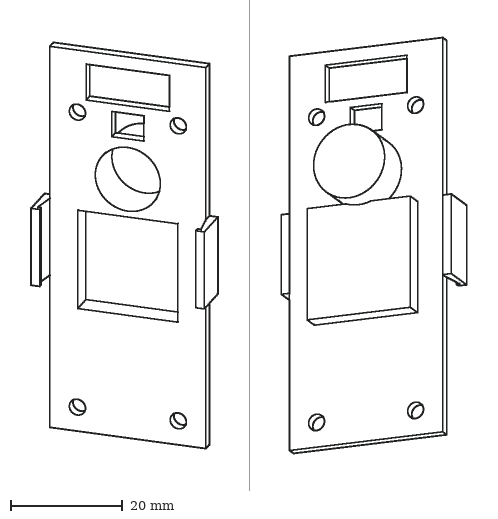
import cadquery as cq

PLATE_WIDTH = 29.6
PLATE_HEIGHT = 73.9
PLATE_THICKNESS = 2.0
PLATE_TOP = PLATE_HEIGHT / 2

HOLE_DIAMETER = 3.0
HOLE_SPACING_X = 19.15
HOLE_SPACING_Z = 57.2
UPPER_HOLE_DROP = 12.05

LARGE_WINDOW_WIDTH = 15.8
LARGE_WINDOW_HEIGHT = 6.95
LARGE_WINDOW_DROP = 2.5
SMALL_WINDOW_WIDTH = 6.05
SMALL_WINDOW_HEIGHT = 4.9
SMALL_WINDOW_DROP = 11.0

FLOOR_THICKNESS = 1.0
CUP_OUTER_DIAMETER = 13.75
CUP_INNER_DIAMETER = 12.35
CUP_DEPTH = 8.0
CUP_DROP = 23.7
BOX_WIDTH = 19.95
BOX_HEIGHT = 20.85
BOX_DEPTH = 3.5
BOX_DROP = 30.15
POCKET_WIDTH = 19.0
POCKET_HEIGHT = 19.1
POCKET_DROP = 31.05

CLIP_SPAN = 32.9
CLIP_HEIGHT = 14.9
CLIP_DROP = 29.5
CLIP_BACK_Y = -0.1
CLIP_FRONT_Y = -7.5
CLIP_TIP_THICKNESS = 0.95
LIP_THICKNESS = 0.95


def block(width, height, drop, front_y, back_y):
    """Box centred on X, with its top face a given drop below the plate top."""
    depth = back_y - front_y
    center_z = PLATE_TOP - drop - height / 2
    return cq.Workplane("XY").box(width, depth, height).translate((0, front_y + depth / 2, center_z))


def rod(diameter, x, z, front_y, back_y):
    """Cylinder along Y."""
    plane = cq.Workplane("XZ", origin=(x, back_y, z))
    return plane.circle(diameter / 2).extrude(back_y - front_y)


def clip(side):
    """Clip on the right (side = 1) or left (side = -1) edge of the plate."""
    outer_x = CLIP_SPAN / 2
    plate_edge_x = PLATE_WIDTH / 2
    tip_x = outer_x - CLIP_TIP_THICKNESS
    lip_back_y = CLIP_FRONT_Y + LIP_THICKNESS
    outline = [
        (outer_x, CLIP_BACK_Y),
        (plate_edge_x, CLIP_BACK_Y),
        (plate_edge_x, -PLATE_THICKNESS),
        (tip_x, lip_back_y),
        (plate_edge_x, lip_back_y),
        (plate_edge_x, CLIP_FRONT_Y),
        (outer_x, CLIP_FRONT_Y),
    ]
    bottom_z = PLATE_TOP - CLIP_DROP - CLIP_HEIGHT
    plane = cq.Workplane("XY", origin=(0, 0, bottom_z))
    return plane.polyline([(side * x, y) for x, y in outline]).close().extrude(CLIP_HEIGHT)


front_y = -PLATE_THICKNESS
cup_z = PLATE_TOP - CUP_DROP

result = block(PLATE_WIDTH, PLATE_HEIGHT, 0, front_y, 0)
result = result.union(rod(CUP_OUTER_DIAMETER, 0, cup_z, front_y, CUP_DEPTH))
result = result.union(block(BOX_WIDTH, BOX_HEIGHT, BOX_DROP, front_y, BOX_DEPTH))
for side in (-1, 1):
    result = result.union(clip(side))

result = result.cut(rod(CUP_INNER_DIAMETER, 0, cup_z, front_y, CUP_DEPTH - FLOOR_THICKNESS))
result = result.cut(block(POCKET_WIDTH, POCKET_HEIGHT, POCKET_DROP, front_y, BOX_DEPTH - FLOOR_THICKNESS))

result = result.cut(block(LARGE_WINDOW_WIDTH, LARGE_WINDOW_HEIGHT, LARGE_WINDOW_DROP, front_y, 0))
result = result.cut(block(SMALL_WINDOW_WIDTH, SMALL_WINDOW_HEIGHT, SMALL_WINDOW_DROP, front_y, 0))
upper_hole_z = PLATE_TOP - UPPER_HOLE_DROP
for hole_x in (-HOLE_SPACING_X / 2, HOLE_SPACING_X / 2):
    for hole_z in (upper_hole_z, upper_hole_z - HOLE_SPACING_Z):
        result = result.cut(rod(HOLE_DIAMETER, hole_x, hole_z, front_y, 0))